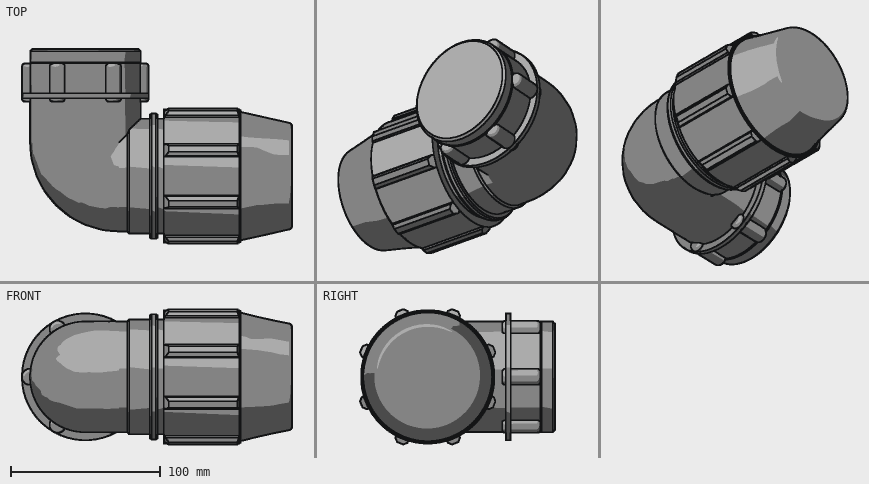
import cadquery as cq
import math


pipe_radius = 37.0
bend_offset = 22.5
neck_radius = 38.5
neck_chamfer = 1.3
neck_start = 28.0

ring_radius = 41.8
ring_start = 43.1
ring_end = 48.2
ring_chamfer_axial = 1.3
ring_chamfer_radial = 0.7

nut_start = 52.3
nut_end = 103.5
nut_radius = 44.5
nut_edge_chamfer = 0.7
main_end = 138.0
cone_start_radius = 43.0
cone_end_radius = 35.2
cone_fillet = 2.7

rib_count = 8
rib_top_radius = 48.0
rib_overlap = 0.5
rib_base_radius = nut_radius - rib_overlap
rib_width = 8.8
rib_chamfer = 2.2
rib_start_slope = 3.2
rib_end_slope = 1.5
rib_end = nut_end - nut_edge_chamfer

flange_radius = 42.4
side_end = 85.0
side_chamfer = 1.6
groove_depth = 0.5
groove_start = 75.2
groove_end = 76.0
flange_start = 52.1
flange_end = 55.4

lug_count = 6
lug_radius = 5.5
lug_circle_radius = flange_radius - lug_radius
lug_start = 49.6
lug_end = groove_start
lug_fillet = 2.3


def make_bend():
    """Quarter bend: the part of the pipe section outside the bend axis, turned by 90 degrees."""
    chord_half = math.sqrt(pipe_radius**2 - bend_offset**2)
    return (
        cq.Workplane("XZ", origin=(0, bend_offset, 0))
        .moveTo(bend_offset, -chord_half)
        .threePointArc((-pipe_radius, 0), (bend_offset, chord_half))
        .close()
        .revolve(90, (bend_offset, -1.8), (bend_offset, 1.8))
    )


def make_main_branch():
    """Pipe, neck, ring, clamping nut and cone turned about the X axis."""
    profile = [
        (bend_offset, 0),
        (bend_offset, pipe_radius),
        (neck_start, pipe_radius),
        (neck_start + neck_chamfer, neck_radius),
        (ring_start, neck_radius),
        (ring_start, ring_radius - ring_chamfer_radial),
        (ring_start + ring_chamfer_axial, ring_radius),
        (ring_end - ring_chamfer_axial, ring_radius),
        (ring_end, ring_radius - ring_chamfer_radial),
        (ring_end, neck_radius),
        (nut_start, neck_radius),
        (nut_start, nut_radius),
        (nut_end - nut_edge_chamfer, nut_radius),
        (nut_end, nut_radius - nut_edge_chamfer),
        (nut_end, cone_start_radius),
        (main_end, cone_end_radius),
        (main_end, 0),
    ]
    branch = cq.Workplane("XY").polyline(profile).close().revolve(360, (0, 0), (1, 0))
    return branch.faces(">X").edges().fillet(cone_fillet)


def make_side_branch():
    """Pipe with a rim, a groove and a thin flange turned about the Y axis."""
    groove_radius = pipe_radius - groove_depth
    profile = [
        (0, bend_offset),
        (pipe_radius, bend_offset),
        (pipe_radius, flange_start),
        (flange_radius, flange_start),
        (flange_radius, flange_end),
        (pipe_radius, flange_end),
        (pipe_radius, groove_start),
        (groove_radius, groove_start),
        (groove_radius, groove_end),
        (pipe_radius, groove_end),
        (pipe_radius, side_end - side_chamfer),
        (pipe_radius - side_chamfer, side_end),
        (0, side_end),
    ]
    return cq.Workplane("XY").polyline(profile).close().revolve(360, (0, 0), (0, 1))


def make_rib():
    """Grip rib on the +Z side of the nut, with chamfered long edges and sloped ends."""
    cross_section = [
        (-rib_width / 2, rib_base_radius),
        (rib_width / 2, rib_base_radius),
        (rib_width / 2, rib_top_radius - rib_chamfer),
        (rib_width / 2 - rib_chamfer, rib_top_radius),
        (rib_chamfer - rib_width / 2, rib_top_radius),
        (-rib_width / 2, rib_top_radius - rib_chamfer),
    ]
    side_outline = [
        (nut_start, rib_base_radius),
        (rib_end, rib_base_radius),
        (rib_end, nut_radius),
        (rib_end - rib_end_slope, rib_top_radius),
        (nut_start + rib_start_slope, rib_top_radius),
        (nut_start, nut_radius),
    ]
    bar = (
        cq.Workplane("YZ", origin=(nut_start, 0, 0))
        .polyline(cross_section)
        .close()
        .extrude(rib_end - nut_start)
    )
    slab = cq.Workplane("XZ").polyline(side_outline).close().extrude(rib_width, both=True)
    return bar.intersect(slab)


def make_lug():
    """Round lug with rounded ends on the -X side of the side branch."""
    return (
        cq.Workplane("XZ", origin=(0, lug_start, 0))
        .center(-lug_circle_radius, 0)
        .circle(lug_radius)
        .extrude(lug_start - lug_end)
        .edges()
        .fillet(lug_fillet)
    )


result = make_bend().union(make_main_branch()).union(make_side_branch())

rib_pitch = 360 / rib_count
for index in range(rib_count):
    rib_angle = (index + 0.5) * rib_pitch
    result = result.union(make_rib().rotate((0, 0, 0), (1, 0, 0), rib_angle))

lug_pitch = 360 / lug_count
for index in range(lug_count):
    result = result.union(make_lug().rotate((0, 0, 0), (0, 1, 0), index * lug_pitch))